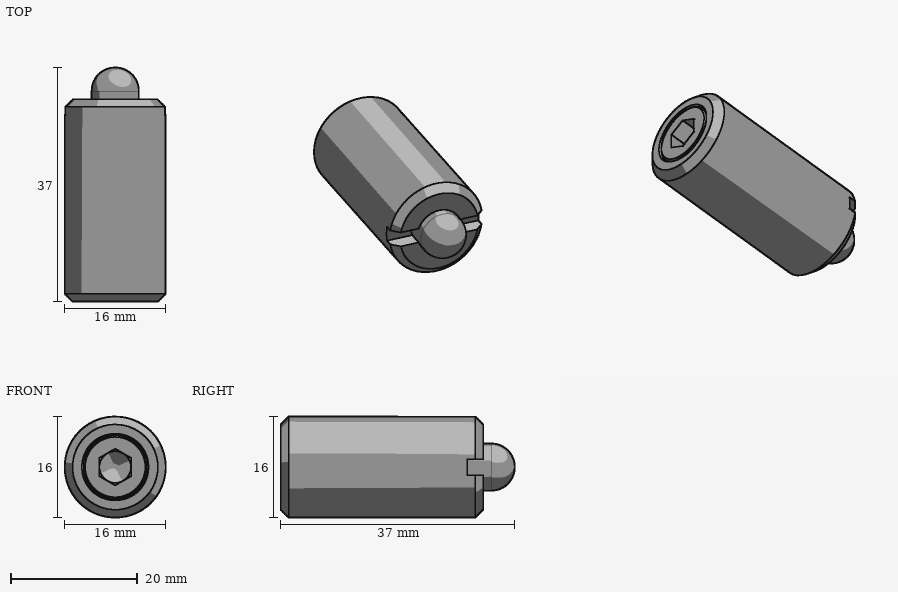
import cadquery as cq
import math

total_length = 37.0
body_diameter = 16.0
body_chamfer = 1.25

pin_diameter = 7.5
pin_protrusion = 5.0

slot_width = 2.5
slot_depth = 2.5

plug_diameter = 10.03
seam_chamfer = 0.25
hex_across_flats = 5.0
hex_depth = 5.0
drill_point_angle = 120.0

body_radius = body_diameter / 2
pin_radius = pin_diameter / 2
plug_radius = plug_diameter / 2
body_length = total_length - pin_protrusion
plug_face_y = -total_length / 2
body_end_y = plug_face_y + body_length
pin_tip_y = total_length / 2
slot_floor_y = body_end_y - slot_depth
hex_floor_y = plug_face_y + hex_depth
hex_corner_diameter = hex_across_flats / math.cos(math.radians(30))
drill_radius = hex_across_flats / 2
drill_point_depth = drill_radius / math.tan(math.radians(drill_point_angle / 2))


def revolve_about_y(profile):
    return profile.close().revolve(360, (0, 0, 0), (0, 1, 0))


def make_body():
    """Cylinder chamfered at both ends."""
    end_radius = body_radius - body_chamfer
    return revolve_about_y(
        cq.Workplane("XY")
        .moveTo(0, plug_face_y)
        .lineTo(end_radius, plug_face_y)
        .lineTo(body_radius, plug_face_y + body_chamfer)
        .lineTo(body_radius, body_end_y - body_chamfer)
        .lineTo(end_radius, body_end_y)
        .lineTo(0, body_end_y)
    )


def make_slot():
    """Straight slot along X through the pin end of the body."""
    return (
        cq.Workplane("XY")
        .box(body_diameter, slot_depth, slot_width)
        .translate((0, body_end_y - slot_depth / 2, 0))
    )


def make_pin():
    """Hemispherical pin that starts at the slot floor."""
    dome_centre_y = pin_tip_y - pin_radius
    arc_offset = pin_radius * math.sqrt(0.5)
    return revolve_about_y(
        cq.Workplane("XY")
        .moveTo(0, slot_floor_y)
        .lineTo(pin_radius, slot_floor_y)
        .lineTo(pin_radius, dome_centre_y)
        .threePointArc((arc_offset, dome_centre_y + arc_offset), (0, pin_tip_y))
    )


def make_seam_groove():
    """V groove left by the chamfers of the plug and its bore."""
    return revolve_about_y(
        cq.Workplane("XY")
        .moveTo(plug_radius - seam_chamfer, plug_face_y)
        .lineTo(plug_radius, plug_face_y + seam_chamfer)
        .lineTo(plug_radius + seam_chamfer, plug_face_y)
    )


def make_hex_socket():
    """Hexagon socket with corners on the Z axis and a conical floor."""
    hexagon = (
        cq.Workplane("XZ", origin=(0, plug_face_y, 0))
        .transformed(rotate=(0, 0, 90))
        .polygon(6, hex_corner_diameter)
        .extrude(-hex_depth)
    )
    drill_point = revolve_about_y(
        cq.Workplane("XY")
        .moveTo(0, hex_floor_y)
        .lineTo(drill_radius, hex_floor_y)
        .lineTo(0, hex_floor_y + drill_point_depth)
    )
    return hexagon.union(drill_point)


result = (
    make_body()
    .cut(make_slot())
    .union(make_pin())
    .cut(make_seam_groove())
    .cut(make_hex_socket())
)